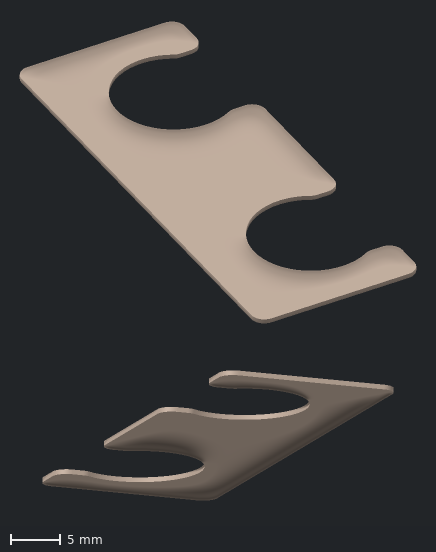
import cadquery as cq

length = 50.8
width = 19.05
thickness = 0.5
corner_radius = 1.5

notch_spacing = 28.55
seat_radius = 6.6
seat_depth = 6.7
neck_width = 11.2
lip_radius = 1.5

back_y = width / 2
seat_y = back_y - seat_depth


def notch_cutter(center_x):
    """Round seat joined to a straight neck that reaches the back edge."""
    seat = cq.Workplane("XY").center(center_x, seat_y).circle(seat_radius).extrude(thickness)
    neck = (
        cq.Workplane("XY")
        .center(center_x, seat_y + seat_depth / 2)
        .rect(neck_width, seat_depth)
        .extrude(thickness)
    )
    return seat.union(neck)


plate = cq.Workplane("XY").rect(length, width).extrude(thickness)
for side in (-1, 1):
    plate = plate.cut(notch_cutter(side * notch_spacing / 2))

plate = plate.edges("|Z and (<X or >X)").fillet(corner_radius)
for side in (-1, 1):
    for wall in (-1, 1):
        wall_x = side * notch_spacing / 2 + wall * neck_width / 2
        neck_edges = cq.selectors.BoxSelector(
            (wall_x - lip_radius / 2, seat_y, -thickness),
            (wall_x + lip_radius / 2, back_y + lip_radius, 2 * thickness),
        )
        plate = plate.edges("|Z").edges(neck_edges).fillet(lip_radius)

result = plate